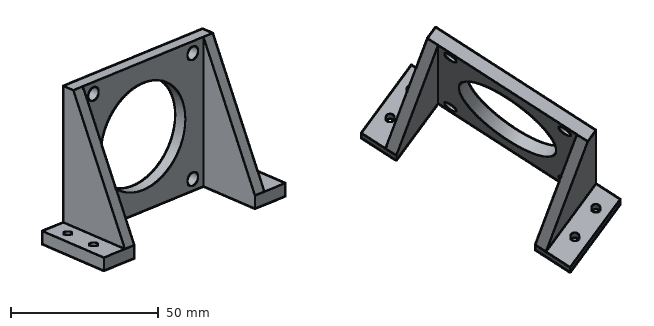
import cadquery as cq

depth = 30.0
length = 86.0
height = 56.0

plate_thickness = 5.0
foot_thickness = 5.0
foot_width = 10.0
gusset_thickness = 4.5
body_width = length - 2 * foot_width
opening_width = body_width - 2 * gusset_thickness

bore_diameter = 40.0
motor_hole_diameter = 5.0
motor_hole_spacing = 47.0
bore_height = height / 2

foot_hole_diameter = 3.0
foot_hole_spacing = 12.55
first_foot_hole_x = 7.4
foot_hole_row_spacing = length - foot_width


def make_body():
    """Upright block with a sloping back, centred on Y."""
    side_outline = [
        (0, 0),
        (depth, 0),
        (depth, foot_thickness),
        (plate_thickness, height),
        (0, height),
    ]
    return cq.Workplane("XZ").polyline(side_outline).close().extrude(body_width / 2, both=True)


def make_base():
    """Flat slab whose ends form the two mounting feet."""
    return cq.Workplane("XY").box(depth, length, foot_thickness, centered=(False, True, False))


def make_opening():
    """Space between the gussets, behind the front plate."""
    return (
        cq.Workplane("XY")
        .box(depth - plate_thickness, opening_width, height, centered=(False, True, False))
        .translate((plate_thickness, 0, 0))
    )


def make_motor_holes():
    """Central bore and the four holes around it, running along X."""
    face = cq.Workplane("YZ").center(0, bore_height)
    bore = face.circle(bore_diameter / 2).extrude(plate_thickness)
    bolt_holes = (
        face.rect(motor_hole_spacing, motor_hole_spacing, forConstruction=True)
        .vertices()
        .circle(motor_hole_diameter / 2)
        .extrude(plate_thickness)
    )
    return bore.union(bolt_holes)


def make_foot_holes():
    """Two vertical holes through each foot."""
    pattern_centre_x = first_foot_hole_x + foot_hole_spacing / 2
    return (
        cq.Workplane("XY")
        .center(pattern_centre_x, 0)
        .rect(foot_hole_spacing, foot_hole_row_spacing, forConstruction=True)
        .vertices()
        .circle(foot_hole_diameter / 2)
        .extrude(foot_thickness)
    )


result = (
    make_body()
    .union(make_base())
    .cut(make_opening())
    .cut(make_motor_holes())
    .cut(make_foot_holes())
)